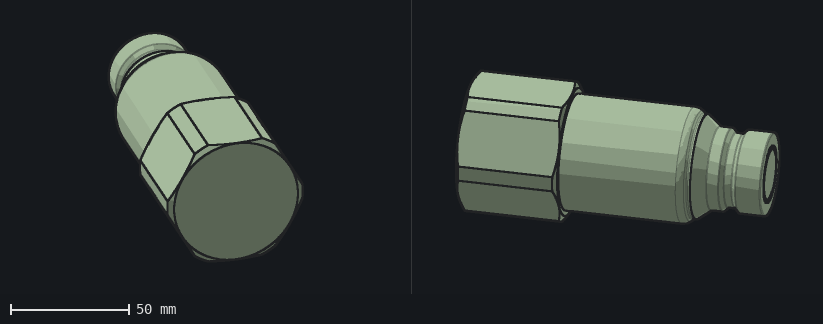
import cadquery as cq
import math

length = 130.3

nose_radius = 18.0
groove_radius = 16.0
groove_start = 11.1
groove_end = 18.4
groove_flank = nose_radius - groove_radius
cone_start = 23.6
nose_rounding = 0.5

land_radius = 22.5
land_start = 29.6
land_end = 31.0
land_fillet = 0.9
body_radius = 25.0
shoulder_fillet = 4.5

hex_start = 86.2
hex_across_flats = 55.0
hex_corner_diameter = 59.9
hex_face_diameter = 54.7
hex_chamfer_angle = 30.0

valve_radius = 11.6
valve_edge_chamfer = 0.5
valve_ring_radius = 12.2
valve_ring_depth = 0.7


def revolve_about_x(sketch):
    return sketch.close().revolve(360, (0, 0, 0), (1, 0, 0))


def edges_at(x, radius):
    """Select the circular edge at a given station of the turned profile."""
    margin = 0.1
    return cq.selectors.BoxSelector(
        (x - margin, -radius - margin, -radius - margin),
        (x + margin, radius + margin, radius + margin),
        boundingbox=True,
    )


def turned_body():
    shoulder_end = land_end + body_radius - land_radius
    profile = (
        cq.Workplane("XY")
        .lineTo(0, nose_radius)
        .lineTo(groove_start, nose_radius)
        .lineTo(groove_start + groove_flank, groove_radius)
        .lineTo(groove_end - groove_flank, groove_radius)
        .lineTo(groove_end, nose_radius)
        .lineTo(cone_start, nose_radius)
        .lineTo(land_start, land_radius)
        .lineTo(land_end, land_radius)
        .lineTo(shoulder_end, body_radius)
        .lineTo(hex_start, body_radius)
        .lineTo(hex_start, 0)
    )
    body = revolve_about_x(profile)
    roundings = [
        (0, nose_radius, nose_rounding),
        (groove_start, nose_radius, nose_rounding),
        (groove_start + groove_flank, groove_radius, nose_rounding),
        (groove_end - groove_flank, groove_radius, nose_rounding),
        (groove_end, nose_radius, nose_rounding),
        (cone_start, nose_radius, nose_rounding),
        (land_end, land_radius, land_fillet),
        (shoulder_end, body_radius, shoulder_fillet),
    ]
    for x, radius, rounding in roundings:
        body = body.edges("%CIRCLE").edges(edges_at(x, radius)).fillet(rounding)
    return body


def hex_end():
    corner_radius = hex_corner_diameter / 2
    face_radius = hex_face_diameter / 2
    chamfer_length = (corner_radius - face_radius) * math.tan(math.radians(hex_chamfer_angle))
    prism = (
        cq.Workplane("YZ", origin=(hex_start, 0, 0))
        .polygon(6, hex_across_flats / math.cos(math.pi / 6))
        .extrude(length - hex_start)
    )
    envelope = revolve_about_x(
        cq.Workplane("XY")
        .moveTo(hex_start, 0)
        .lineTo(hex_start, face_radius)
        .lineTo(hex_start + chamfer_length, corner_radius)
        .lineTo(length - chamfer_length, corner_radius)
        .lineTo(length, face_radius)
        .lineTo(length, 0)
    )
    return prism.intersect(envelope)


def valve_ring():
    return revolve_about_x(
        cq.Workplane("XY")
        .moveTo(0, valve_radius - valve_edge_chamfer)
        .lineTo(valve_edge_chamfer, valve_radius)
        .lineTo(valve_ring_depth, valve_radius)
        .lineTo(valve_ring_depth, valve_ring_radius)
        .lineTo(0, valve_ring_radius)
    )


result = turned_body().union(hex_end()).cut(valve_ring())